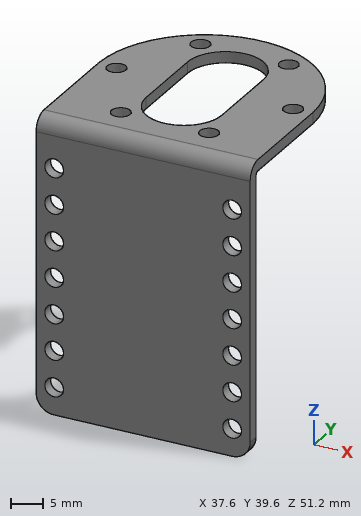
import cadquery as cq


width = 37.59
depth = 39.6
height = 51.2
thickness = 1.98

bend_outer_radius = 2.65
bend_inner_radius = bend_outer_radius - thickness

back_radius = 18.8
front_y = back_radius - depth
motor_hole_count = 6
motor_hole_circle_diameter = 31.0
motor_slot_width = 13.3
motor_slot_length = 27.3

bottom_corner_radius = 3.175
row_count = 7
row_pitch = 6.35
column_spacing = 31.24
lowest_row_height = 4.8

screw_hole_diameter = 3.25


def make_bent_strip():
    """L-shaped profile in the YZ plane, extruded to the full width, with the bend rounded."""
    profile = (
        cq.Workplane("YZ")
        .moveTo(back_radius, 0)
        .lineTo(front_y, 0)
        .lineTo(front_y, -height)
        .lineTo(front_y + thickness, -height)
        .lineTo(front_y + thickness, -thickness)
        .lineTo(back_radius, -thickness)
        .close()
    )
    strip = profile.extrude(width / 2, both=True)
    outer_corner = cq.selectors.NearestToPointSelector((0, front_y, 0))
    inner_corner = cq.selectors.NearestToPointSelector((0, front_y + thickness, -thickness))
    strip = strip.edges(outer_corner).fillet(bend_outer_radius)
    return strip.edges(inner_corner).fillet(bend_inner_radius)


def round_back(bracket):
    """Trim the back of the motor plate to an arc about the motor axis."""
    straight_sides = (
        cq.Workplane("XY")
        .center(0, front_y / 2)
        .rect(width, -front_y)
        .extrude(-height)
    )
    disc = cq.Workplane("XY").circle(back_radius).extrude(-height)
    return bracket.intersect(straight_sides.union(disc))


def round_bottom_corners(bracket):
    """Round the two lower corners of the mounting plate."""
    return bracket.faces("<Z").edges("|Y").fillet(bottom_corner_radius)


def cut_motor_openings(bracket):
    """Cut the central slot and the ring of motor screw holes."""
    slot = (
        cq.Workplane("XY")
        .slot2D(motor_slot_length, motor_slot_width, 90)
        .extrude(-thickness)
    )
    holes = (
        cq.Workplane("XY")
        .polarArray(motor_hole_circle_diameter / 2, 0, 360, motor_hole_count)
        .circle(screw_hole_diameter / 2)
        .extrude(-thickness)
    )
    return bracket.cut(slot).cut(holes)


def cut_mounting_holes(bracket):
    """Cut the two columns of screw holes through the mounting plate."""
    positions = []
    for row in range(row_count):
        z = -height + lowest_row_height + row * row_pitch
        positions.append((-column_spacing / 2, z))
        positions.append((column_spacing / 2, z))
    holes = (
        cq.Workplane("XZ", origin=(0, front_y, 0))
        .pushPoints(positions)
        .circle(screw_hole_diameter / 2)
        .extrude(-thickness)
    )
    return bracket.cut(holes)


bracket = make_bent_strip()
bracket = round_back(bracket)
bracket = round_bottom_corners(bracket)
bracket = cut_motor_openings(bracket)
result = cut_mounting_holes(bracket)